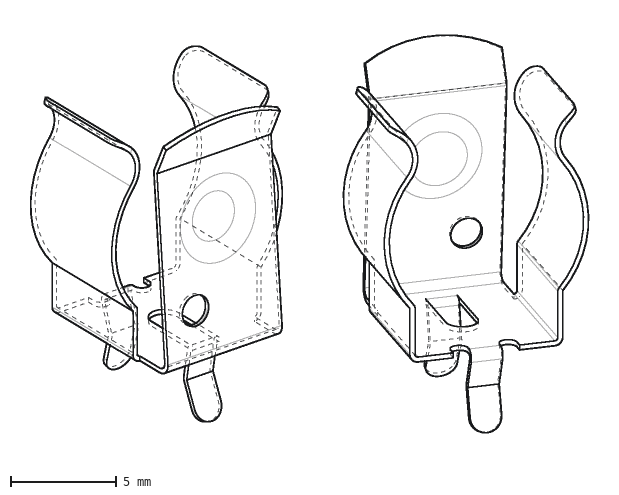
import cadquery as cq
import math

THICKNESS = 0.254
MID = THICKNESS / 2
TIGHT_BEND = 0.152
SHARP_BEND = 0.0
CLIP_LENGTH = 6.35
CLIP_WIDTH = 7.62
BASE_WIDTH = CLIP_WIDTH - 2 * (THICKNESS + TIGHT_BEND)

ARM_WALL_TOP = 2.77
CLIP_MAX_WIDTH = 10.19
CRADLE_RADIUS = 5.30
CRADLE_RISE = 38.0
LIP_RADIUS = 1.394
LIP_END_ANGLE = 16.5
LIP_CORNER_RADIUS = 0.787

LEAF_BEND_START = 7.91
LEAF_BEND = 0.381
LEAF_LEAN = 5.0
LEAF_LENGTH = 9.87
FLAP_TURN = 30.0
FLAP_SIDE_LENGTH = 1.69
FLAP_CROWN = 0.93

DIMPLE_DISTANCE = 6.56
DIMPLE_RADIUS = 2.24
DIMPLE_CAP_RADIUS = 1.417
DIMPLE_HEIGHT = 0.82
LEAF_HOLE_DIAMETER = 1.57
LEAF_HOLE_DISTANCE = 2.25
LEAF_HOLE_Y = -1.61

PIN_WIDTH = 1.57
PIN_TIP_LENGTH = 1.47
FRONT_PIN_BEND_START = 0.285
FRONT_PIN_BEND_TURN = 110.0
FRONT_PIN_UPPER_LENGTH = 1.60
FRONT_PIN_CREASE_TURN = 35.0
REAR_PIN_BEND_START = 7.01
REAR_PIN_BEND_TURN = 80.0
REAR_PIN_UPPER_LENGTH = 1.65
REAR_PIN_CREASE_TURN = 35.0
SLOT_START = 3.045
NOTCH_WIDTH = 0.87
NOTCH_DEPTH = 0.853


def polar(point, angle, distance):
    """Point at a distance from another, along an angle in degrees."""
    a = math.radians(angle)
    return (point[0] + distance * math.cos(a), point[1] + distance * math.sin(a))


def straight(length):
    return (length, 0.0, 0.0)


def bend(turn, inside_radius):
    """Bend by a signed angle in degrees, positive to the left."""
    return (0.0, turn, inside_radius)


def trace(start, heading, steps):
    """Follow the middle of the sheet; return both faces as segments, the end point and its heading."""
    point = start
    left = []
    right = []
    for length, turn, inside_radius in steps:
        if turn == 0:
            point = polar(point, heading, length)
            left.append((None, polar(point, heading + 90, MID)))
            right.append((None, polar(point, heading - 90, MID)))
            continue
        side = math.copysign(90, turn)
        center = polar(point, heading + side, inside_radius + MID)
        spoke = heading - side
        inside, outside = (left, right) if turn > 0 else (right, left)
        outer_radius = inside_radius + THICKNESS
        if inside_radius > 0:
            inside.append((polar(center, spoke + turn / 2, inside_radius),
                           polar(center, spoke + turn, inside_radius)))
        outside.append((polar(center, spoke + turn / 2, outer_radius),
                        polar(center, spoke + turn, outer_radius)))
        point = polar(center, spoke + turn, inside_radius + MID)
        heading += turn
    return left, right, point, heading


def draw_segment(outline, through, end):
    return outline.lineTo(*end) if through is None else outline.threePointArc(through, end)


def strip_section(plane, start, heading, steps):
    """Closed section of a bent sheet, with the end point and heading of its middle line."""
    left, right, end, end_heading = trace(start, heading, steps)
    right_start = polar(start, heading - 90, MID)
    outline = cq.Workplane(plane).moveTo(*polar(start, heading + 90, MID))
    for through, target in left:
        outline = draw_segment(outline, through, target)
    outline = outline.lineTo(*right[-1][1])
    previous_ends = [right_start] + [target for _, target in right[:-1]]
    for (through, _), target in zip(reversed(right), reversed(previous_ends)):
        outline = draw_segment(outline, through, target)
    return outline.close(), end, end_heading


def sheet_plane(point, heading):
    """Plane on the middle of a sheet bent in XZ: local X is +Y, the normal is left of the heading."""
    normal = polar((0, 0), heading + 90, 1)
    return cq.Plane(origin=(point[0], 0, point[1]), xDir=(0, 1, 0), normal=(normal[0], 0, normal[1]))


def crowned_strip(start, heading, steps, width, crown):
    """Strip bent in XZ whose free end is an arc rising by the crown."""
    section, end, end_heading = strip_section("XZ", start, heading, steps)
    half = width / 2
    cap = (
        cq.Workplane(sheet_plane(end, end_heading))
        .moveTo(-half, 0)
        .threePointArc((0, -crown), (half, 0))
        .close()
        .extrude(MID, both=True)
    )
    return section.extrude(half, both=True).union(cap)


def make_arm():
    """Arm on the +Y side."""
    flare = math.degrees(math.acos(1 - (CLIP_MAX_WIDTH - CLIP_WIDTH) / 2 / CRADLE_RADIUS))
    lip_turn = 90 + CRADLE_RISE - LIP_END_ANGLE
    wall_height = ARM_WALL_TOP - THICKNESS - TIGHT_BEND
    section, _, _ = strip_section("YZ", (BASE_WIDTH / 2, MID), 0, [
        bend(90, TIGHT_BEND),
        straight(wall_height),
        bend(-flare, SHARP_BEND),
        bend(flare + CRADLE_RISE, CRADLE_RADIUS - THICKNESS),
        bend(-lip_turn, LIP_RADIUS),
    ])
    across_tip = polar((0, 0), LIP_END_ANGLE + 90, 1)
    tip_corners = cq.selectors.ParallelDirSelector(cq.Vector(0, *across_tip))
    return section.extrude(CLIP_LENGTH).edges(tip_corners).fillet(LIP_CORNER_RADIUS)


def slot_cutter(round_end, square_end, y, width, direction):
    """Slot along X with one semicircular end; direction points from the round to the square end."""
    half = width / 2
    shoulder = round_end + direction * half
    return (
        cq.Workplane("XY")
        .moveTo(square_end, y - half)
        .lineTo(shoulder, y - half)
        .threePointArc((round_end, y), (shoulder, y + half))
        .lineTo(square_end, y + half)
        .close()
        .extrude(THICKNESS)
    )


def make_base():
    """Flat plate with the rear pin slot and the two notches beside the front pin."""
    plate = cq.Workplane("XY").box(LEAF_BEND_START, BASE_WIDTH, THICKNESS, centered=(False, True, False))
    slot = slot_cutter(SLOT_START, REAR_PIN_BEND_START, 0, PIN_WIDTH, 1)
    plate = plate.cut(slot)
    for side in (1, -1):
        notch_y = side * (PIN_WIDTH + NOTCH_WIDTH) / 2
        plate = plate.cut(slot_cutter(NOTCH_DEPTH, 0, notch_y, NOTCH_WIDTH, -1))
    front_relief = cq.Workplane("XY").box(
        FRONT_PIN_BEND_START, PIN_WIDTH, THICKNESS, centered=(False, True, False)
    )
    return plate.cut(front_relief)


def make_dimple(plane):
    """Formed shell: a spherical cap blending through a concave skirt into the leaf."""
    slope = 2 * math.degrees(math.atan(DIMPLE_HEIGHT / DIMPLE_RADIUS))
    slope_sine = math.sin(math.radians(slope))
    cap_radius = DIMPLE_CAP_RADIUS / slope_sine
    skirt_radius = (DIMPLE_RADIUS - DIMPLE_CAP_RADIUS) / slope_sine
    profile_plane = cq.Plane(origin=plane.origin, xDir=plane.xDir, normal=plane.yDir * -1)
    section, _, _ = strip_section(profile_plane, (0, DIMPLE_HEIGHT), 0, [
        bend(-slope, cap_radius - THICKNESS),
        bend(slope, skirt_radius),
    ])
    return section.revolve(360, (0, 0), (0, 1))


def make_leaf():
    """End contact leaf with its outward flap, dimple and hole."""
    start = (LEAF_BEND_START, MID)
    lower_bend = bend(90 + LEAF_LEAN, LEAF_BEND)
    leaf = crowned_strip(start, 0, [
        lower_bend,
        straight(LEAF_LENGTH),
        bend(-FLAP_TURN, SHARP_BEND),
        straight(FLAP_SIDE_LENGTH),
    ], BASE_WIDTH, FLAP_CROWN)
    _, _, foot, heading = trace(start, 0, [lower_bend])

    dimple_plane = sheet_plane(polar(foot, heading, DIMPLE_DISTANCE), heading)
    opening = cq.Workplane(dimple_plane).circle(DIMPLE_RADIUS).extrude(MID, both=True)
    leaf = leaf.cut(opening).union(make_dimple(dimple_plane))

    hole_plane = sheet_plane(polar(foot, heading, LEAF_HOLE_DISTANCE), heading)
    hole = (
        cq.Workplane(hole_plane)
        .center(LEAF_HOLE_Y, 0)
        .circle(LEAF_HOLE_DIAMETER / 2)
        .extrude(THICKNESS, both=True)
    )
    return leaf.cut(hole)


def make_pin(bend_start, bend_turn, upper_length, crease_turn):
    """Solder pin bent down from the base, with a full round tip."""
    return crowned_strip((bend_start, MID), 180, [
        bend(bend_turn, TIGHT_BEND),
        straight(upper_length),
        bend(crease_turn, SHARP_BEND),
        straight(PIN_TIP_LENGTH),
    ], PIN_WIDTH, PIN_WIDTH / 2)


arm = make_arm()
front_pin = make_pin(
    FRONT_PIN_BEND_START, FRONT_PIN_BEND_TURN, FRONT_PIN_UPPER_LENGTH, -FRONT_PIN_CREASE_TURN
)
rear_pin = make_pin(
    REAR_PIN_BEND_START, REAR_PIN_BEND_TURN, REAR_PIN_UPPER_LENGTH, REAR_PIN_CREASE_TURN
)
result = make_base()
for piece in (arm, arm.mirror("XZ"), make_leaf(), front_pin, rear_pin):
    result = result.union(piece)